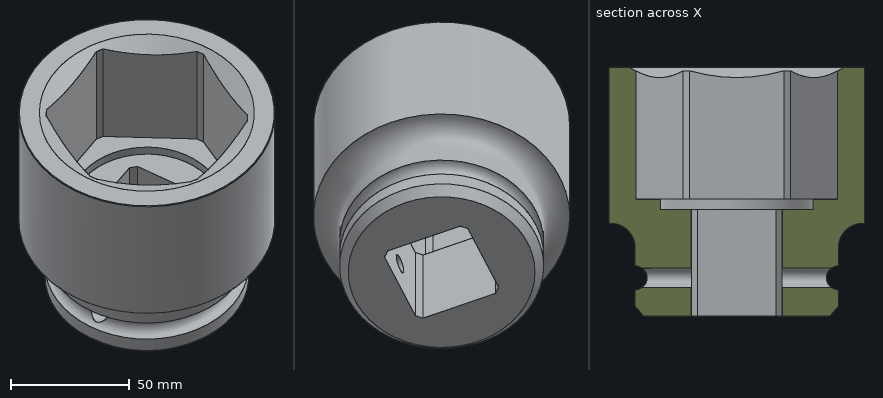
import cadquery as cq
import math

height = 105.0
body_radius = 54.0
top_chamfer = 0.3
shoulder_z = 39.0
neck_radius = 43.0
neck_fillet = 10.0
base_chamfer_width = 3.7
base_chamfer_height = 4.2

groove_z = 16.2
groove_radius = 5.0
pin_diameter = 8.0

hex_flats = 75.1
hex_corner_flat = 3.2
hex_depth = 55.6
mouth_radius = 45.3
mouth_angle = 30.0

relief_radius = 32.1
relief_depth = 4.3
drive_width = 38.1
drive_chamfer = 2.5


def outer_body():
    """Revolved body, with a concave fillet between neck and shoulder."""
    fillet_low_z = shoulder_z - neck_fillet
    bend = neck_fillet * math.sqrt(0.5)
    profile = (
        cq.Workplane("XZ")
        .moveTo(0, 0)
        .lineTo(neck_radius - base_chamfer_width, 0)
        .lineTo(neck_radius, base_chamfer_height)
        .lineTo(neck_radius, fillet_low_z)
        .threePointArc(
            (neck_radius + neck_fillet - bend, fillet_low_z + bend),
            (neck_radius + neck_fillet, shoulder_z),
        )
        .lineTo(body_radius, shoulder_z)
        .lineTo(body_radius, height - top_chamfer)
        .lineTo(body_radius - top_chamfer, height)
        .lineTo(0, height)
        .close()
    )
    return profile.revolve(360, (0, 0, 0), (0, 1, 0))


def groove():
    """Round-bottomed ring around the neck."""
    section = cq.Workplane("XZ").center(neck_radius, groove_z).circle(groove_radius)
    return section.revolve(360, (-neck_radius, 0, 0), (-neck_radius, 1, 0))


def pin_hole():
    """Cross hole through both walls along Y."""
    section = cq.Workplane("XZ").center(0, groove_z).circle(pin_diameter / 2)
    return section.extrude(body_radius, both=True)


def hex_prism(flats, depth):
    """Hexagon with corners along Y, its upright edges cut to narrow flats."""
    corner_diameter = flats / math.cos(math.pi / 6)
    corner_cut = hex_corner_flat / math.sqrt(3)
    return (
        cq.Workplane("XY")
        .workplane(offset=height - depth)
        .polygon(6, corner_diameter)
        .extrude(depth)
        .edges("|Z")
        .chamfer(corner_cut)
        .rotate((0, 0, 0), (0, 0, 1), 90)
    )


def mouth_cone():
    """Full cone that leads into the hexagon."""
    cone_depth = mouth_radius * math.tan(math.radians(mouth_angle))
    section = (
        cq.Workplane("XZ")
        .moveTo(0, height)
        .lineTo(mouth_radius, height)
        .lineTo(0, height - cone_depth)
        .close()
    )
    return section.revolve(360, (0, 0, 0), (0, 1, 0))


def relief():
    """Round recess in the floor of the hexagon."""
    floor_z = height - hex_depth - relief_depth
    return cq.Workplane("XY").workplane(offset=floor_z).circle(relief_radius).extrude(relief_depth)


def square_drive():
    """Square hole with chamfered corners, open to the base."""
    return (
        cq.Workplane("XY")
        .rect(drive_width, drive_width)
        .extrude(height - hex_depth)
        .edges("|Z")
        .chamfer(drive_chamfer)
    )


result = (
    outer_body()
    .cut(groove())
    .cut(pin_hole())
    .cut(hex_prism(hex_flats, hex_depth))
    .cut(mouth_cone())
    .cut(relief())
    .cut(square_drive())
)